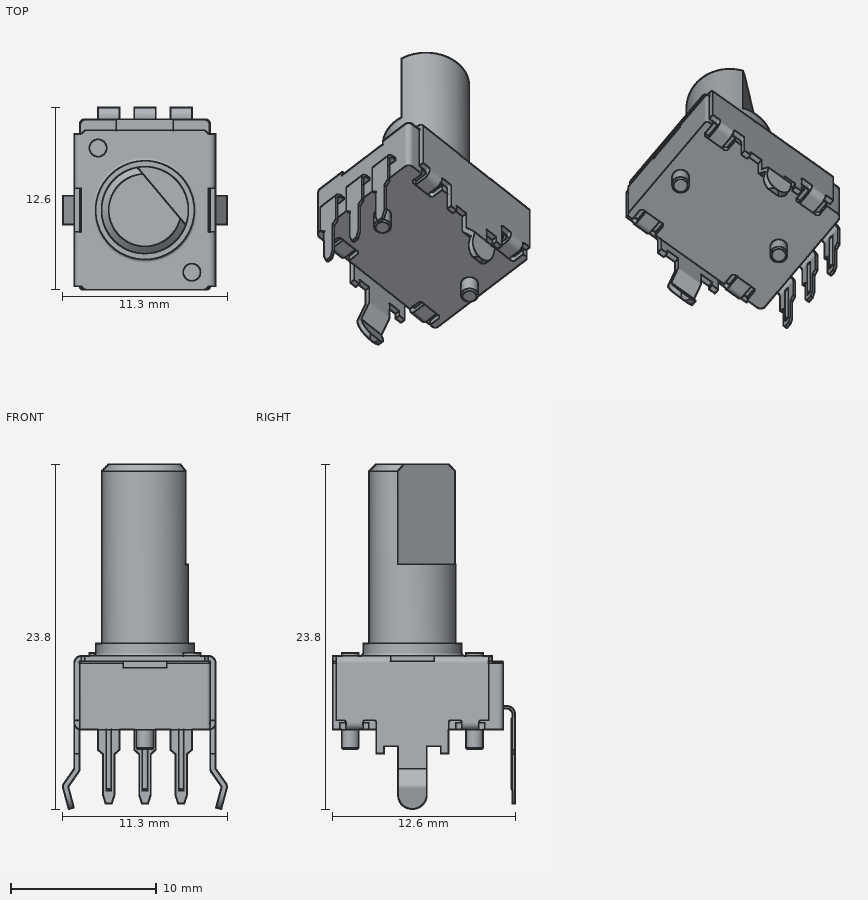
import cadquery as cq
import math


OVERALL_HEIGHT = 23.8

HOUSING_HALF_WIDTH = 4.5
HOUSING_FRONT_Y = -5.5
HOUSING_REAR_Y = 6.28
HOUSING_FRONT_FILLET = 0.24
HOUSING_REAR_FILLET = 0.38
HOUSING_CHAMFER_HEIGHT = 0.12
HOUSING_CHAMFER_INSET = 0.05

COVER_TOP_Z = 5.1
SHEET = 0.38
BEND_RADIUS = 0.5
COVER_HALF_WIDTH = HOUSING_HALF_WIDTH + SHEET
PLATE_HALF_WIDTH = COVER_HALF_WIDTH - BEND_RADIUS
PLATE_HALF_LENGTH = -HOUSING_FRONT_Y
PLATE_CORNER = 0.24
SIDE_HALF_LENGTH = PLATE_HALF_LENGTH - PLATE_CORNER
SIDE_BOTTOM_Z = 0.65
SIDE_ROOT_FILLET = 0.12
WINDOW_LENGTH = 3.0
HOUSING_TOP_Z = COVER_TOP_Z - SHEET

COLLAR_DIAMETER = 6.8
COLLAR_TOP_Z = 5.95
COLLAR_FILLET = 0.21

FOOT_OUTER_Y = 2.5
FOOT_INNER_Y = 1.95
FOOT_BOTTOM_Z = -1.65
FOOT_NOTCH_Z = -1.15
CLIP_HALF_WIDTH = 1.0
CLIP_BOTTOM_Z = -5.47
CLIP_HALF_SPAN = 5.66
CLIP_BEND_Z = -2.7
CLIP_FLARE_ANGLE = math.radians(35)
CLIP_RETURN_ANGLE = math.radians(15)

CRIMP_Y = 4.0
CRIMP_WIDTH = 1.2
POCKET_WIDTH = 2.0
POCKET_DEPTH = 1.0
POCKET_CORNER_RADIUS = 0.2

NOTCH_FLOOR_Z = 4.28
NOTCH_DEPTH = 1.0
FRONT_NOTCH_WIDTH = 3.0
REAR_NOTCH_WIDTH = 3.93

POST_DIAMETER = 1.2
POST_Y = 4.28
RIVET_X = 3.24
RIVET_HEIGHT = 0.21
RIVET_TOP_Z = COVER_TOP_Z + RIVET_HEIGHT
PEG_BOTTOM_Z = -1.35
PEG_CHAMFER = 0.12

SHAFT_DIAMETER = 6.0
SHAFT_TOP_Z = CLIP_BOTTOM_Z + OVERALL_HEIGHT
SHAFT_CHAMFER = 0.5
FLAT_DISTANCE = 1.5
FLAT_LENGTH = 6.93
FLAT_ANGLE_DEGREES = 40

TERMINAL_COUNT = 3
TERMINAL_PITCH = 2.5
TERMINAL_REAR_Y = 7.1
TERMINAL_SHEET = 0.2
TERMINAL_TOP_Z = 1.65
TERMINAL_BEND_RADIUS = 0.6
TERMINAL_WIDTH = 1.5
TERMINAL_HALF_WIDTH = TERMINAL_WIDTH / 2
TERMINAL_SHOULDER_Z = -1.38
TERMINAL_NECK_Z = -1.7
TERMINAL_PIN_HALF_WIDTH = 0.4
TERMINAL_TAPER_Z = -4.5
TERMINAL_TIP_HALF_WIDTH = 0.21
TERMINAL_BOTTOM_Z = -5.1
RIB_HALF_WIDTH = 0.178
RIB_HEIGHT = 0.07
RIB_END_SLOPE = 0.15
RIB_TOP_Z = 0.88
RIB_BOTTOM_Z = -4.21


def block(x_range, y_range, z_range):
    """Axis-aligned box given by its (low, high) limits along each axis."""
    size = [high - low for low, high in (x_range, y_range, z_range)]
    return cq.Workplane().box(*size, centered=False).translate((x_range[0], y_range[0], z_range[0]))


def cylinder(diameter, x, y, bottom_z, top_z):
    """Upright cylinder between two heights."""
    return cq.Workplane(origin=(x, y, bottom_z)).circle(diameter / 2).extrude(top_z - bottom_z)


def on_both_sides(half):
    """A shape on the -X side together with its mirror image on the +X side."""
    return half.union(half.mirror("YZ"))


def rivets(top_z):
    """Posts at two opposite corners, from the top of the housing up to top_z."""
    first = cylinder(POST_DIAMETER, -RIVET_X, POST_Y, HOUSING_TOP_Z, top_z)
    second = cylinder(POST_DIAMETER, RIVET_X, -POST_Y, HOUSING_TOP_Z, top_z)
    return first.add(second)



def make_housing_block():
    """Block with rounded upright corners and a chamfered top edge."""
    width_range = (-HOUSING_HALF_WIDTH, HOUSING_HALF_WIDTH)
    body = block(width_range, (HOUSING_FRONT_Y, HOUSING_REAR_Y), (0, HOUSING_TOP_Z))
    body = body.edges("|Z and <Y").fillet(HOUSING_FRONT_FILLET)
    body = body.edges("|Z and >Y").fillet(HOUSING_REAR_FILLET)
    return body.faces(">Z").chamfer(HOUSING_CHAMFER_HEIGHT, HOUSING_CHAMFER_INSET)


def make_crimp_pocket(y):
    """Space for one crimp tab on the -X side, with rounded inner corners."""
    inner_x = -HOUSING_HALF_WIDTH + POCKET_DEPTH
    y_range = (y - POCKET_WIDTH / 2, y + POCKET_WIDTH / 2)
    pocket = block((-HOUSING_HALF_WIDTH, inner_x), y_range, (0, BEND_RADIUS))
    return pocket.edges("|Z and >X").fillet(POCKET_CORNER_RADIUS)


def make_housing():
    body = make_housing_block()

    notch_z = (NOTCH_FLOOR_Z, HOUSING_TOP_Z)
    front_x = (-FRONT_NOTCH_WIDTH / 2, FRONT_NOTCH_WIDTH / 2)
    rear_x = (-REAR_NOTCH_WIDTH / 2, REAR_NOTCH_WIDTH / 2)
    body = body.cut(block(front_x, (HOUSING_FRONT_Y, HOUSING_FRONT_Y + NOTCH_DEPTH), notch_z))
    body = body.cut(block(rear_x, (HOUSING_REAR_Y - NOTCH_DEPTH, HOUSING_REAR_Y), notch_z))

    for y in (-CRIMP_Y, CRIMP_Y):
        body = body.cut(on_both_sides(make_crimp_pocket(y)))

    for y in (-POST_Y, POST_Y):
        peg = cylinder(POST_DIAMETER, 0, y, PEG_BOTTOM_Z, 0)
        body = body.union(peg.faces("<Z").chamfer(PEG_CHAMFER))
    return body.union(rivets(RIVET_TOP_Z))



def make_side_strip():
    """Bent strip on the -X side: top bend, upright wall, and clip that flares out and returns."""
    flare = CLIP_FLARE_ANGLE
    back = CLIP_RETURN_ANGLE
    outer_x = -COVER_HALF_WIDTH
    inner_x = -HOUSING_HALF_WIDTH
    bend_centre = (-PLATE_HALF_WIDTH, COVER_TOP_Z - BEND_RADIUS)

    def around(centre, radius, angle):
        """Point at a radius from a centre, on its -X side, raised by an angle."""
        return (centre[0] - radius * math.cos(angle), centre[1] + radius * math.sin(angle))

    upper_pivot = (outer_x, CLIP_BEND_Z)
    lower_x = -CLIP_HALF_SPAN + SHEET
    flare_run = outer_x - lower_x + SHEET * math.cos(flare)
    lower_z = CLIP_BEND_Z - flare_run / math.tan(flare) - SHEET * math.sin(flare)
    lower_pivot = (lower_x, lower_z)
    tip_drop = lower_z - SHEET * math.sin(back) - CLIP_BOTTOM_Z
    tip_outer_start = around(lower_pivot, SHEET, -back)
    tip_outer = (tip_outer_start[0] + tip_drop * math.tan(back), CLIP_BOTTOM_Z)
    tip_inner = around(tip_outer, -SHEET, -back)

    return (
        cq.Workplane("XZ")
        .moveTo(bend_centre[0], COVER_TOP_Z)
        .threePointArc(around(bend_centre, BEND_RADIUS, math.pi / 4), (outer_x, bend_centre[1]))
        .lineTo(*upper_pivot)
        .lineTo(*around(lower_pivot, SHEET, flare))
        .threePointArc(around(lower_pivot, SHEET, 0), tip_outer_start)
        .lineTo(*tip_outer)
        .lineTo(*tip_inner)
        .lineTo(*lower_pivot)
        .lineTo(*around(upper_pivot, -SHEET, flare))
        .threePointArc(around(upper_pivot, -SHEET, flare / 2), (inner_x, CLIP_BEND_Z))
        .lineTo(inner_x, HOUSING_TOP_Z)
        .lineTo(bend_centre[0], HOUSING_TOP_Z)
        .close()
        .extrude(SIDE_HALF_LENGTH, both=True)
    )


def make_side_outline():
    """Side wall as cut from flat sheet: wide wall, roots of the tabs, two feet and a round-tipped clip."""
    tab_outer_y = CRIMP_Y + CRIMP_WIDTH / 2
    tab_inner_y = CRIMP_Y - CRIMP_WIDTH / 2
    clip_arc_z = CLIP_BOTTOM_Z + CLIP_HALF_WIDTH
    corners = [
        (SIDE_HALF_LENGTH, COVER_TOP_Z),
        (SIDE_HALF_LENGTH, SIDE_BOTTOM_Z),
        (tab_outer_y, SIDE_BOTTOM_Z),
        (tab_outer_y, BEND_RADIUS),
        (tab_inner_y, BEND_RADIUS),
        (tab_inner_y, SIDE_BOTTOM_Z),
        (FOOT_OUTER_Y, SIDE_BOTTOM_Z),
        (FOOT_OUTER_Y, FOOT_BOTTOM_Z),
        (FOOT_INNER_Y, FOOT_BOTTOM_Z),
        (FOOT_INNER_Y, FOOT_NOTCH_Z),
        (CLIP_HALF_WIDTH, FOOT_NOTCH_Z),
        (CLIP_HALF_WIDTH, clip_arc_z),
    ]
    mirrored = [(-y, z) for y, z in reversed(corners)]
    outline = (
        cq.Workplane("YZ")
        .polyline(corners)
        .threePointArc((0, CLIP_BOTTOM_Z), mirrored[0])
        .polyline(mirrored[1:], includeCurrent=True)
        .close()
        .extrude(-CLIP_HALF_SPAN)
    )
    half_fillet = SIDE_ROOT_FILLET / 2
    root_corners = cq.selectors.BoxSelector(
        (-CLIP_HALF_SPAN, -tab_outer_y - half_fillet, SIDE_BOTTOM_Z - half_fillet),
        (0, tab_outer_y + half_fillet, SIDE_BOTTOM_Z + half_fillet),
    )
    return outline.edges("|X").edges(root_corners).fillet(SIDE_ROOT_FILLET)


def make_crimp_tab(y):
    """Tab on the -X side that continues the wall down and folds under the housing."""
    x_range = (-COVER_HALF_WIDTH, -HOUSING_HALF_WIDTH + POCKET_DEPTH)
    y_range = (y - CRIMP_WIDTH / 2, y + CRIMP_WIDTH / 2)
    tab = block(x_range, y_range, (0, SIDE_BOTTOM_Z))
    inside = block((-HOUSING_HALF_WIDTH, x_range[1]), y_range, (SHEET, SIDE_BOTTOM_Z))
    inner_bend = BEND_RADIUS - SHEET
    inside = inside.edges("|Y and <X and <Z").fillet(inner_bend)
    return tab.edges("|Y and <X and <Z").fillet(BEND_RADIUS).cut(inside)


def make_cover_side():
    """Complete -X side of the cover, with a window cut in its top bend."""
    side = make_side_strip().intersect(make_side_outline())
    for y in (-CRIMP_Y, CRIMP_Y):
        side = side.union(make_crimp_tab(y))
    window_y = (-WINDOW_LENGTH / 2, WINDOW_LENGTH / 2)
    window_x = (-COVER_HALF_WIDTH, -PLATE_HALF_WIDTH)
    return side.cut(block(window_x, window_y, (HOUSING_TOP_Z, COVER_TOP_Z)))


def make_cover_top():
    """Flat plate with cut corners, and a collar blended into it."""
    half_x, half_y = PLATE_HALF_WIDTH, PLATE_HALF_LENGTH
    plate = block((-half_x, half_x), (-half_y, half_y), (HOUSING_TOP_Z, COVER_TOP_Z))
    plate = plate.edges("|Z").chamfer(PLATE_CORNER)
    collar = cylinder(COLLAR_DIAMETER, 0, 0, HOUSING_TOP_Z, COLLAR_TOP_Z)
    blend_edge = cq.selectors.BoxSelector(
        (-half_x, -half_y, COVER_TOP_Z - SHEET / 2), (half_x, half_y, COVER_TOP_Z + SHEET / 2)
    )
    return plate.union(collar).edges("%CIRCLE").edges(blend_edge).fillet(COLLAR_FILLET)


def make_cover():
    cover = make_cover_top().union(on_both_sides(make_cover_side()))
    cover = cover.cut(cylinder(SHAFT_DIAMETER, 0, 0, HOUSING_TOP_Z, COLLAR_TOP_Z))
    return cover.cut(rivets(COVER_TOP_Z))



def make_shaft():
    """Round shaft standing on the housing, with a chamfered end and a flat on one side."""
    shaft = cylinder(SHAFT_DIAMETER, 0, 0, HOUSING_TOP_Z, SHAFT_TOP_Z)
    shaft = shaft.faces(">Z").chamfer(SHAFT_CHAMFER)
    radius = SHAFT_DIAMETER / 2
    waste = block((FLAT_DISTANCE, radius), (-radius, radius), (SHAFT_TOP_Z - FLAT_LENGTH, SHAFT_TOP_Z))
    return shaft.cut(waste.rotate((0, 0, 0), (0, 0, 1), FLAT_ANGLE_DEGREES))



def make_terminal_strip():
    """Strip that leaves the rear of the housing and bends straight down."""
    inner_bend = TERMINAL_BEND_RADIUS - TERMINAL_SHEET
    front_y = TERMINAL_REAR_Y - TERMINAL_SHEET
    bend_y = TERMINAL_REAR_Y - TERMINAL_BEND_RADIUS
    bend_z = TERMINAL_TOP_Z - TERMINAL_BEND_RADIUS
    diagonal = math.sqrt(0.5)
    return (
        cq.Workplane("YZ")
        .moveTo(HOUSING_REAR_Y, TERMINAL_TOP_Z)
        .lineTo(bend_y, TERMINAL_TOP_Z)
        .threePointArc(
            (bend_y + TERMINAL_BEND_RADIUS * diagonal, bend_z + TERMINAL_BEND_RADIUS * diagonal),
            (TERMINAL_REAR_Y, bend_z),
        )
        .lineTo(TERMINAL_REAR_Y, TERMINAL_BOTTOM_Z)
        .lineTo(front_y, TERMINAL_BOTTOM_Z)
        .lineTo(front_y, bend_z)
        .threePointArc(
            (bend_y + inner_bend * diagonal, bend_z + inner_bend * diagonal),
            (bend_y, TERMINAL_TOP_Z - TERMINAL_SHEET),
        )
        .lineTo(HOUSING_REAR_Y, TERMINAL_TOP_Z - TERMINAL_SHEET)
        .close()
        .extrude(TERMINAL_HALF_WIDTH, both=True)
    )


def make_terminal_outline():
    """Terminal width along its height: wide head, narrow pin and tapered tip."""
    corners = [
        (TERMINAL_HALF_WIDTH, TERMINAL_TOP_Z),
        (TERMINAL_HALF_WIDTH, TERMINAL_SHOULDER_Z),
        (TERMINAL_PIN_HALF_WIDTH, TERMINAL_NECK_Z),
        (TERMINAL_PIN_HALF_WIDTH, TERMINAL_TAPER_Z),
        (TERMINAL_TIP_HALF_WIDTH, TERMINAL_BOTTOM_Z),
    ]
    mirrored = [(-x, z) for x, z in reversed(corners)]
    return cq.Workplane("XZ").polyline(corners + mirrored).close().extrude(-TERMINAL_REAR_Y)


def make_terminal_rib():
    """Stiffening rib with an arched section, and sloping ends, on the front face of the terminal."""
    front_y = TERMINAL_REAR_Y - TERMINAL_SHEET
    crest_y = front_y - RIB_HEIGHT
    arch = (
        cq.Workplane("XY", origin=(0, 0, RIB_BOTTOM_Z))
        .moveTo(-RIB_HALF_WIDTH, front_y)
        .threePointArc((0, crest_y), (RIB_HALF_WIDTH, front_y))
        .close()
        .extrude(RIB_TOP_Z - RIB_BOTTOM_Z)
    )
    side_profile = [
        (front_y, RIB_TOP_Z),
        (crest_y, RIB_TOP_Z - RIB_END_SLOPE),
        (crest_y, RIB_BOTTOM_Z + RIB_END_SLOPE),
        (front_y, RIB_BOTTOM_Z),
    ]
    sloped = cq.Workplane("YZ").polyline(side_profile).close().extrude(RIB_HALF_WIDTH, both=True)
    return arch.intersect(sloped)


def make_terminal(x):
    terminal = make_terminal_strip().intersect(make_terminal_outline()).union(make_terminal_rib())
    return terminal.translate((x, 0, 0))


housing = make_housing().solids()
cover = make_cover().solids()
shaft = make_shaft().solids()
terminals = []
for index in range(TERMINAL_COUNT):
    terminal_x = (index - (TERMINAL_COUNT - 1) / 2) * TERMINAL_PITCH
    terminals.append(make_terminal(terminal_x).solids().val())

result = cq.Compound.makeCompound([housing.val(), cover.val(), shaft.val(), *terminals])